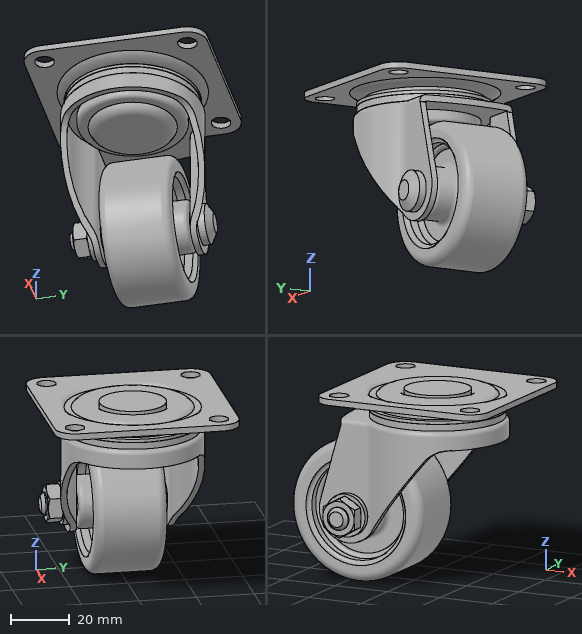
import cadquery as cq
import math

SHEET = 2.2
AXLE_X = -25.0
AXLE_Z = -43.0

PLATE_SIDE = 64.0
PLATE_CORNER_R = 7.0
PLATE_HOLE_D = 6.6
PLATE_HOLE_PITCH = 50.0
DISH_OUTER_R = 27.2
DISH_FLOOR_OUTER_R = 23.4
DISH_FLOOR_INNER_R = 21.0
DISH_DEPTH = 2.0
CROWN_OUTER_R = 17.3
CROWN_INNER_R = 16.0
FLARE_DEPTH = 2.1
BELLY_OUTER_R = 25.8
BELLY_INNER_R = 20.6
PLATE_BOTTOM_Z = -DISH_DEPTH - SHEET

PIN_R = 11.5
COLLAR_R = 21.4
COLLAR_ROUND = 1.3
RING_UPPER_R = 23.5
RING_LOWER_R = 23.3
RING_TOP_Z = -6.1
RING_STEP_Z = -7.3
HEAD_R = 15.2
HEAD_HEIGHT = 2.9
HEAD_FLAT_R = 11.2

FORK_TOP_Z = -9.7
FORK_INNER_Z = FORK_TOP_Z - SHEET
FORK_HALF_WIDTH = 18.2
SKIRT_R = 24.6
SKIRT_BOTTOM_Z = -16.4
BLEND_R = 4.5
FORK_TOP_ROUND = 2.0
FLAP_TIP_X = -30.0
FLAP_SIDE_X = -27.9
FLAP_BOTTOM_Z = -12.2
LEG_END_R = 11.0
LEG_END_Z = AXLE_Z + 1.0
LEG_BACK_ANGLE = 51.0
LEG_BACK_FILLET = 10.0
CUP_R = 19.0
CUP_BOTTOM_Z = SKIRT_BOTTOM_Z
CUP_ROUND = 1.7
HEAD_BOTTOM_Z = CUP_BOTTOM_Z - HEAD_HEIGHT

WHEEL_R = 25.0
WHEEL_HALF_WIDTH = 12.5
TREAD_HALF_WIDTH = 9.7
FACE_OUTER_R = 21.7
FACE_INNER_R = 19.0
LIP_R = 17.5
WEB_OUTER_R = 15.9
WEB_HALF_WIDTH = 6.5
HUB_R = 9.25
HUB_HALF_WIDTH = 15.2
HUB_ROUND = 1.4
HUB_BASE_R = 11.2
SPACER_R = 5.4

BOLT_R = 4.0
BOLT_HEAD_R = 7.1
BOLT_HEAD_RIM = 2.6
BOLT_HEAD_TIP_R = 3.5
BOLT_HEAD_HEIGHT = 4.8
WASHER_R = 7.5
WASHER_THICKNESS = 2.1
NUT_FLATS = 12.0
NUT_HEIGHT = 5.2
NUT_FACE_R = 6.0
NUT_CHAMFER = 0.5
BOLT_STICKOUT = 1.8
BOLT_TIP_CHAMFER = 1.3


def arc_mid(start, end, radius, side):
    """Middle point of the minor arc; side +1 bulges to the left of start -> end."""
    dx = end[0] - start[0]
    dy = end[1] - start[1]
    chord = math.hypot(dx, dy)
    sagitta = radius - math.sqrt(radius**2 - chord**2 / 4)
    return (
        (start[0] + end[0]) / 2 - side * sagitta * dy / chord,
        (start[1] + end[1]) / 2 + side * sagitta * dx / chord,
    )


def tangent_radius(run, rise):
    """Radius of an arc level at one end that rises by `rise` over `run`."""
    return (run**2 + rise**2) / (2 * rise)


def press_arc(sketch, start, end, side):
    """Add an arc that is level at one end of the step from start to end."""
    radius = tangent_radius(abs(end[0] - start[0]), abs(end[1] - start[1]))
    return sketch.threePointArc(arc_mid(start, end, radius, side), end)


def disc(radius, top_z, bottom_z):
    return cq.Workplane("XY").workplane(offset=bottom_z).circle(radius).extrude(top_z - bottom_z)


def axle_plane(y):
    """Workplane across the axle at Y = y; its normal is -Y."""
    return cq.Workplane("XZ", origin=(AXLE_X, y, AXLE_Z))


def axle_cylinder(radius, y_start, y_end):
    return axle_plane(y_start).circle(radius).extrude(y_start - y_end)


def make_plate():
    flat = (
        cq.Workplane("XY")
        .rect(PLATE_SIDE, PLATE_SIDE)
        .extrude(-SHEET)
        .edges("|Z")
        .fillet(PLATE_CORNER_R)
        .cut(disc(DISH_OUTER_R, 0, -SHEET))
    )
    rim = (DISH_OUTER_R, 0)
    floor_outer = (DISH_FLOOR_OUTER_R, -DISH_DEPTH)
    floor_inner = (DISH_FLOOR_INNER_R, -DISH_DEPTH)
    crown_outer = (CROWN_OUTER_R, 0)
    crown_inner = (CROWN_INNER_R, 0)
    flare_end = (PIN_R, -FLARE_DEPTH)
    belly_inner = (BELLY_INNER_R, PLATE_BOTTOM_Z)
    belly_outer = (BELLY_OUTER_R, -SHEET)

    section = cq.Workplane("XZ").moveTo(*rim)
    section = press_arc(section, rim, floor_outer, -1).lineTo(*floor_inner)
    section = press_arc(section, floor_inner, crown_outer, -1).lineTo(*crown_inner)
    section = press_arc(section, crown_inner, flare_end, -1)
    section = section.lineTo(PIN_R, PLATE_BOTTOM_Z).lineTo(*belly_inner)
    section = press_arc(section, belly_inner, belly_outer, -1)
    dish = section.lineTo(DISH_OUTER_R, -SHEET).close().revolve(360, (0, 0), (0, 1))

    pitch = PLATE_HOLE_PITCH
    holes = cq.Workplane("XY").rect(pitch, pitch, forConstruction=True).vertices()
    return flat.union(dish).cut(holes.circle(PLATE_HOLE_D / 2).extrude(-SHEET))


def make_swivel():
    collar = disc(COLLAR_R, PLATE_BOTTOM_Z, RING_TOP_Z).faces(">Z").edges().fillet(COLLAR_ROUND)
    head_flat = (HEAD_FLAT_R, HEAD_BOTTOM_Z)
    head_rim = (HEAD_R, CUP_BOTTOM_Z)
    head = cq.Workplane("XZ").moveTo(0, HEAD_BOTTOM_Z).lineTo(*head_flat)
    head = press_arc(head, head_flat, head_rim, -1).lineTo(0, CUP_BOTTOM_Z).close()
    head = head.revolve(360, (0, 0), (0, 1))
    return (
        disc(PIN_R, 0, CUP_BOTTOM_Z)
        .union(collar)
        .union(disc(RING_UPPER_R, RING_TOP_Z, RING_STEP_Z))
        .union(disc(RING_LOWER_R, RING_STEP_Z, FORK_TOP_Z))
        .union(head)
    )


def fork_outline(half_width, skirt_r, blend_r):
    """Plan of the fork: straight legs to the front, round skirt to the back."""
    blend_y = half_width + blend_r
    blend_x = -math.sqrt((skirt_r + blend_r) ** 2 - blend_y**2)
    share = skirt_r / (skirt_r + blend_r)
    skirt_start = (blend_x * share, blend_y * share)
    leg_end = (blend_x, half_width)
    mid = arc_mid(leg_end, skirt_start, blend_r, -1)
    front_x = AXLE_X - 2 * LEG_END_R
    return (
        cq.Workplane("XY")
        .moveTo(front_x, half_width)
        .lineTo(*leg_end)
        .threePointArc(mid, skirt_start)
        .threePointArc((skirt_r, 0), (skirt_start[0], -skirt_start[1]))
        .threePointArc((mid[0], -mid[1]), (leg_end[0], -half_width))
        .lineTo(front_x, -half_width)
        .close()
    )


def fork_side():
    """Side profile of the fork, cut straight across the width."""
    dx = FLAP_SIDE_X - AXLE_X
    dz = FLAP_BOTTOM_Z - LEG_END_Z
    distance = math.hypot(dx, dz)
    front = math.atan2(dz, dx) + math.acos(LEG_END_R / distance)
    slope = math.radians(LEG_BACK_ANGLE)
    back = slope - math.pi / 2

    def on_leg_end(angle):
        return (AXLE_X + LEG_END_R * math.cos(angle), LEG_END_Z + LEG_END_R * math.sin(angle))

    front_tangent = on_leg_end(front)
    back_tangent = on_leg_end(back)
    rise = SKIRT_BOTTOM_Z - back_tangent[1]
    corner_x = back_tangent[0] + rise / math.tan(slope)
    setback = LEG_BACK_FILLET * math.tan(slope / 2)
    slope_end = (
        corner_x - setback * math.cos(slope),
        SKIRT_BOTTOM_Z - setback * math.sin(slope),
    )
    skirt_start = (corner_x + setback, SKIRT_BOTTOM_Z)
    return (
        cq.Workplane("XZ")
        .moveTo(FLAP_TIP_X, FORK_TOP_Z)
        .lineTo(FLAP_TIP_X, FLAP_BOTTOM_Z)
        .lineTo(FLAP_SIDE_X, FLAP_BOTTOM_Z)
        .lineTo(*front_tangent)
        .threePointArc(on_leg_end(math.radians(-90)), back_tangent)
        .lineTo(*slope_end)
        .threePointArc(arc_mid(slope_end, skirt_start, LEG_BACK_FILLET, 1), skirt_start)
        .lineTo(SKIRT_R, SKIRT_BOTTOM_Z)
        .lineTo(SKIRT_R, FORK_TOP_Z)
        .close()
        .extrude(2 * SKIRT_R, both=True)
    )


def flap_trim():
    """Space ahead of the bowed front edge of the fork top."""
    return (
        cq.Workplane("XY")
        .workplane(offset=FLAP_BOTTOM_Z)
        .moveTo(FLAP_SIDE_X, FORK_HALF_WIDTH)
        .threePointArc((FLAP_TIP_X, 0), (FLAP_SIDE_X, -FORK_HALF_WIDTH))
        .lineTo(2 * FLAP_TIP_X, -FORK_HALF_WIDTH)
        .lineTo(2 * FLAP_TIP_X, FORK_HALF_WIDTH)
        .close()
        .extrude(FORK_TOP_Z - FLAP_BOTTOM_Z)
    )


def make_fork():
    height = FORK_TOP_Z - (LEG_END_Z - LEG_END_R)
    body = fork_outline(FORK_HALF_WIDTH, SKIRT_R, BLEND_R).extrude(-height)
    body = body.faces(">Z").edges("not(<X)").fillet(FORK_TOP_ROUND)
    inside = fork_outline(FORK_HALF_WIDTH - SHEET, SKIRT_R - SHEET, BLEND_R + SHEET).extrude(-height)
    fork = (
        body.translate((0, 0, FORK_TOP_Z))
        .cut(inside.translate((0, 0, FORK_INNER_Z)))
        .intersect(fork_side())
        .cut(flap_trim())
    )
    cup = disc(CUP_R, FORK_INNER_Z, CUP_BOTTOM_Z).faces("<Z").edges().fillet(CUP_ROUND)
    fork = fork.union(cup).cut(disc(PIN_R, FORK_TOP_Z, CUP_BOTTOM_Z))
    fork = fork.cut(axle_cylinder(BOLT_R, -FORK_HALF_WIDTH, FORK_HALF_WIDTH))
    for side in (-1, 1):
        fork = fork.cut(axle_cylinder(WASHER_R, side * FORK_HALF_WIDTH, side * SKIRT_R))
    return fork


def make_tyre_blank():
    """Full-width ring with both tread shoulders rounded, centred on the Y axis."""
    tread = (WHEEL_R, TREAD_HALF_WIDTH)
    face = (FACE_OUTER_R, WHEEL_HALF_WIDTH)
    shoulder = arc_mid(tread, face, WHEEL_R - FACE_OUTER_R, -1)
    return (
        cq.Workplane("XY")
        .moveTo(BOLT_R, -WHEEL_HALF_WIDTH)
        .lineTo(face[0], -face[1])
        .threePointArc((shoulder[0], -shoulder[1]), (tread[0], -tread[1]))
        .lineTo(*tread)
        .threePointArc(shoulder, face)
        .lineTo(BOLT_R, WHEEL_HALF_WIDTH)
        .close()
        .revolve(360, (0, 0), (0, 1))
    )


def make_wheel_recess():
    """Space removed from the +Y face, from the bore out to the rounded lip."""
    lip_round = FACE_INNER_R - LIP_R
    lip_start = (FACE_INNER_R, WHEEL_HALF_WIDTH)
    lip_top = (LIP_R, WHEEL_HALF_WIDTH - lip_round)
    web_round = LIP_R - WEB_OUTER_R
    lip_bottom = (LIP_R, WEB_HALF_WIDTH + web_round)
    web_edge = (WEB_OUTER_R, WEB_HALF_WIDTH)
    return (
        cq.Workplane("XY")
        .moveTo(0, WHEEL_HALF_WIDTH)
        .lineTo(*lip_start)
        .threePointArc(arc_mid(lip_start, lip_top, lip_round, 1), lip_top)
        .lineTo(*lip_bottom)
        .threePointArc(arc_mid(lip_bottom, web_edge, web_round, -1), web_edge)
        .lineTo(0, WEB_HALF_WIDTH)
        .close()
        .revolve(360, (0, 0), (0, 1))
    )


def make_hub_end():
    """Hub and spacer standing on the +Y side of the web."""
    foot = HUB_BASE_R - HUB_R
    base = (HUB_BASE_R, WEB_HALF_WIDTH)
    side = (HUB_R, WEB_HALF_WIDTH + foot)
    shoulder = (HUB_R, HUB_HALF_WIDTH - HUB_ROUND)
    end = (HUB_R - HUB_ROUND, HUB_HALF_WIDTH)
    spacer_end = FORK_HALF_WIDTH - SHEET
    return (
        cq.Workplane("XY")
        .moveTo(BOLT_R, WEB_HALF_WIDTH)
        .lineTo(*base)
        .threePointArc(arc_mid(base, side, foot, 1), side)
        .lineTo(*shoulder)
        .threePointArc(arc_mid(shoulder, end, HUB_ROUND, -1), end)
        .lineTo(SPACER_R, HUB_HALF_WIDTH)
        .lineTo(SPACER_R, spacer_end)
        .lineTo(BOLT_R, spacer_end)
        .close()
        .revolve(360, (0, 0), (0, 1))
    )


def make_wheel():
    recess = make_wheel_recess()
    hub_end = make_hub_end()
    return (
        make_tyre_blank()
        .cut(recess)
        .cut(recess.mirror("XZ"))
        .union(hub_end)
        .union(hub_end.mirror("XZ"))
        .translate((AXLE_X, 0, AXLE_Z))
    )


def make_nut():
    """Hexagon along +Y from the origin, corners chamfered at both ends."""
    corner_r = NUT_FLATS / 2 / math.cos(math.radians(30))
    chamfered = (
        cq.Workplane("XY")
        .lineTo(NUT_FACE_R, 0)
        .lineTo(corner_r, NUT_CHAMFER)
        .lineTo(corner_r, NUT_HEIGHT - NUT_CHAMFER)
        .lineTo(NUT_FACE_R, NUT_HEIGHT)
        .lineTo(0, NUT_HEIGHT)
        .close()
        .revolve(360, (0, 0), (0, 1))
    )
    hexagon = (
        cq.Workplane("XZ")
        .transformed(rotate=(0, 0, 30))
        .polygon(6, 2 * corner_r)
        .extrude(-NUT_HEIGHT)
    )
    return hexagon.intersect(chamfered)


def make_axle():
    head_y = FORK_HALF_WIDTH
    washer_end = -FORK_HALF_WIDTH - WASHER_THICKNESS
    nut_end = washer_end - NUT_HEIGHT
    tip = nut_end - BOLT_STICKOUT

    shank = axle_cylinder(BOLT_R, tip, head_y).faces("<Y").chamfer(BOLT_TIP_CHAMFER)
    rim = axle_cylinder(BOLT_HEAD_R, head_y, head_y + BOLT_HEAD_RIM)
    cone = (
        axle_plane(head_y + BOLT_HEAD_RIM)
        .circle(BOLT_HEAD_R)
        .workplane(offset=BOLT_HEAD_RIM - BOLT_HEAD_HEIGHT)
        .circle(BOLT_HEAD_TIP_R)
        .loft(ruled=True)
    )
    washer = axle_cylinder(WASHER_R, washer_end, -FORK_HALF_WIDTH)
    nut = make_nut().translate((AXLE_X, nut_end, AXLE_Z))
    return shank.union(rim).union(cone).union(washer).union(nut)


plate = make_plate()
swivel = make_swivel()
fork = make_fork()
wheel = make_wheel()
axle = make_axle()

result = cq.Compound.makeCompound(
    [plate.val(), swivel.val(), fork.val(), wheel.val(), axle.val()]
)